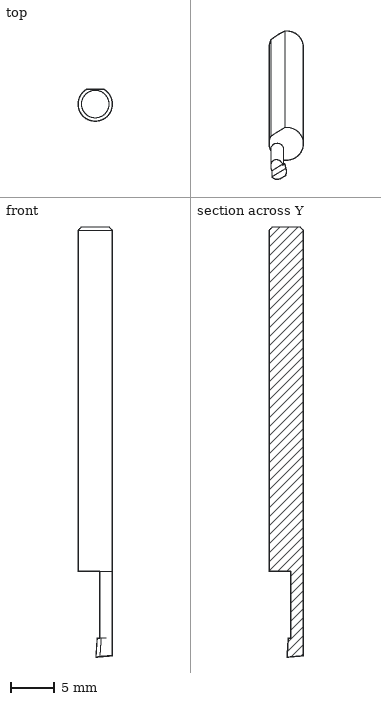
import cadquery as cq
import math

shank_radius = 2.0
shank_length = 40.0
shank_chamfer = 0.4
flat_offset = 1.75

neck_length = 10.0
neck_radius = 0.75
neck_x = shank_radius - neck_radius
tip_z = -neck_length

rake_top_z = -7.37
runout_angle = math.radians(45)

head_top_z = -7.75
edge_x = 0.06
side_relief_mid = (0.14, -0.3)
side_relief_end = (0.33, -0.55)
heel_x = 0.54
back_taper_angle = math.radians(4)

end_angle_x = math.radians(5)
end_relief_angle_y = math.radians(6)


def make_shank():
    bar = cq.Workplane("XY").circle(shank_radius).extrude(shank_length)
    bar = bar.faces(">Z").chamfer(shank_chamfer)
    flat_cutter = cq.Workplane("XY", origin=(0, flat_offset, 0)).box(
        2 * shank_radius, shank_radius, shank_length, centered=(True, False, False)
    )
    return bar.cut(flat_cutter)


def make_neck():
    bar = cq.Workplane("XY").center(neck_x, 0).circle(neck_radius).extrude(tip_z)
    runout_rise = neck_radius * math.tan(runout_angle)
    rake_cutter = (
        cq.Workplane("YZ")
        .moveTo(0, rake_top_z)
        .lineTo(neck_radius, rake_top_z + runout_rise)
        .lineTo(neck_radius, tip_z)
        .lineTo(0, tip_z)
        .close()
        .extrude(shank_radius)
    )
    return bar.cut(rake_cutter)


def add_head_outline(workplane, shift):
    """Draw the head section with its cutting side moved along +X by shift."""
    mid_x, mid_y = side_relief_mid
    end_x, end_y = side_relief_end
    return (
        workplane.moveTo(edge_x + shift, 0)
        .threePointArc((mid_x + shift, mid_y), (end_x + shift, end_y))
        .lineTo(heel_x + shift, -neck_radius)
        .lineTo(neck_x, -neck_radius)
        .lineTo(neck_x, 0)
        .close()
    )


def make_head():
    head_height = head_top_z - tip_z
    top_shift = head_height * math.tan(back_taper_angle)
    bottom = add_head_outline(cq.Workplane("XY", origin=(0, 0, tip_z)), 0)
    both = add_head_outline(bottom.workplane(offset=head_height), top_shift)
    return both.loft(ruled=True)


def make_end_cutter():
    outward = (math.tan(end_angle_x), -math.tan(end_relief_angle_y), -1)
    end_plane = cq.Plane(origin=(edge_x, 0, tip_z), normal=outward)
    cutter_width = 4 * shank_radius
    cutter_depth = shank_radius
    return cq.Workplane(end_plane).rect(cutter_width, cutter_width).extrude(cutter_depth)


tool_end = make_neck().union(make_head()).cut(make_end_cutter())
result = make_shank().union(tool_end)